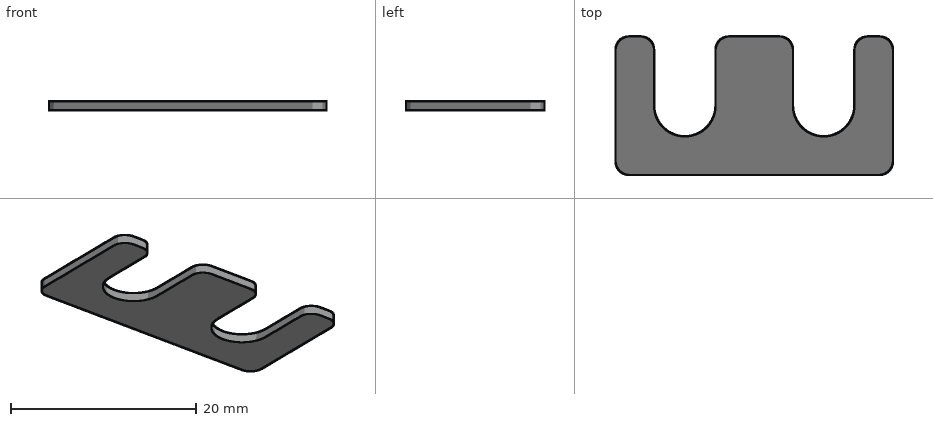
import cadquery as cq

length = 30.0
width = 15.0
thickness = 1.0
corner_radius = 1.5

slot_width = 6.6
slot_pitch = length / 2
slot_centre_y = 0.0


def make_plate():
    """Rectangular plate centred on X and Y, resting on Z = 0."""
    return cq.Workplane("XY").box(length, width, thickness, centered=(True, True, False))


def make_slot(centre_x):
    """Cutter for one slot: a round end and a straight run out through the +Y edge."""
    run_length = width / 2 - slot_centre_y
    round_end = (
        cq.Workplane("XY")
        .center(centre_x, slot_centre_y)
        .circle(slot_width / 2)
        .extrude(thickness)
    )
    straight_run = (
        cq.Workplane("XY")
        .center(centre_x, slot_centre_y + run_length / 2)
        .rect(slot_width, run_length)
        .extrude(thickness)
    )
    return round_end.union(straight_run)


def round_corners(plate):
    """Round every vertical edge on the front and back sides, slot mouths included."""
    front_and_back = plate.faces("<Y or >Y").edges("|Z")
    return front_and_back.fillet(corner_radius)


plate = make_plate()
for centre_x in (-slot_pitch / 2, slot_pitch / 2):
    plate = plate.cut(make_slot(centre_x))

result = round_corners(plate)